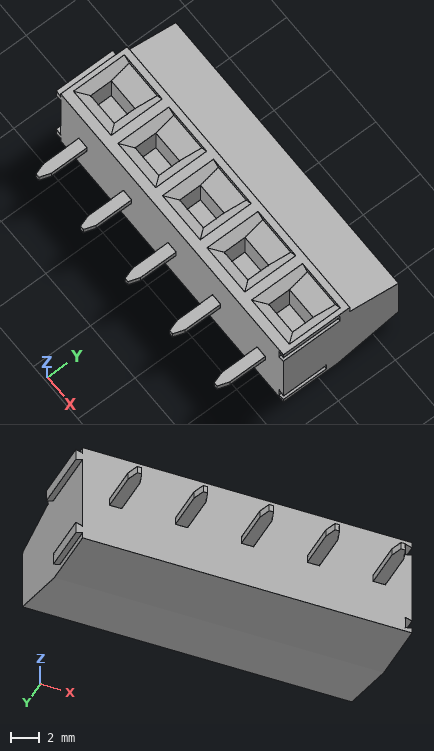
import cadquery as cq

pole_count = 5
pitch = 5.0
body_width = pole_count * pitch
body_depth = 10.1
body_height = 8.1

top_land_depth = 5.81
top_step = 0.7
rear_top = body_height - 1.84
rear_bottom = 1.4
bottom_land_depth = 4.75

funnel_width = 4.23
funnel_front = 0.82
funnel_back = 5.28
funnel_depth = 0.59
funnel_back_wall = 0.4
pit_width = 2.65
pit_front = 1.7
pit_back = 3.52
pit_depth = 2.5

pin_length = 4.0
pin_width = 0.92
pin_thickness = 0.55
pin_height = 3.9
tip_length = 0.9
tip_width = 0.33

rail_reach = 0.5
rail_outer_width = 0.92
rail_neck_width = 0.59
upper_rail_height = body_height - 0.8
upper_rail_length = 4.97
lower_rail_height = 0.76
lower_rail_length = 3.77


def make_housing():
    """Extrude the side outline along the whole width."""
    outline = [
        (0, 0),
        (bottom_land_depth, 0),
        (body_depth, rear_bottom),
        (body_depth, rear_top),
        (top_land_depth, body_height - top_step),
        (top_land_depth, body_height),
        (0, body_height),
    ]
    return cq.Workplane("YZ").polyline(outline).close().extrude(body_width)


def make_wire_entry(center_x):
    """Funnel with sloped sides and a part-height upright back wall, plus the pit below it."""
    funnel_floor = body_height - funnel_depth
    side_outline = [
        (funnel_front, body_height),
        (funnel_back, body_height),
        (funnel_back, body_height - funnel_back_wall),
        (pit_back, funnel_floor),
        (pit_front, funnel_floor),
    ]
    front_outline = [
        (center_x - funnel_width / 2, body_height),
        (center_x + funnel_width / 2, body_height),
        (center_x + pit_width / 2, funnel_floor),
        (center_x - pit_width / 2, funnel_floor),
    ]
    lengthwise = cq.Workplane("YZ").polyline(side_outline).close().extrude(body_width)
    crosswise = cq.Workplane("XZ").polyline(front_outline).close().extrude(-body_depth)
    pit = cq.Workplane("XY").box(
        pit_width, pit_back - pit_front, pit_depth, centered=(True, False, False)
    ).translate((center_x, pit_front, funnel_floor - pit_depth))
    return lengthwise.intersect(crosswise).union(pit)


def make_pin(center_x):
    """Flat pin reaching out of the pin face toward -Y."""
    shoulder_y = tip_length - pin_length
    outline = [
        (center_x - pin_width / 2, 0),
        (center_x - pin_width / 2, shoulder_y),
        (center_x - tip_width / 2, -pin_length),
        (center_x + tip_width / 2, -pin_length),
        (center_x + pin_width / 2, shoulder_y),
        (center_x + pin_width / 2, 0),
    ]
    bottom = cq.Workplane("XY").workplane(offset=pin_height - pin_thickness / 2)
    return bottom.polyline(outline).close().extrude(pin_thickness)


def make_dovetail(neck_x, center_z, length):
    """Dovetail bar from the pin face toward +Y, widening from neck_x toward -X."""
    outline = [
        (neck_x, center_z - rail_neck_width / 2),
        (neck_x, center_z + rail_neck_width / 2),
        (neck_x - rail_reach, center_z + rail_outer_width / 2),
        (neck_x - rail_reach, center_z - rail_outer_width / 2),
    ]
    return cq.Workplane("XZ").polyline(outline).close().extrude(-length)


result = make_housing()

for pole in range(pole_count):
    pole_x = (pole + 0.5) * pitch
    result = result.cut(make_wire_entry(pole_x))
    result = result.union(make_pin(pole_x))

for rail_height, rail_length in (
    (upper_rail_height, upper_rail_length),
    (lower_rail_height, lower_rail_length),
):
    result = result.union(make_dovetail(0, rail_height, rail_length))
    result = result.cut(make_dovetail(body_width, rail_height, rail_length))